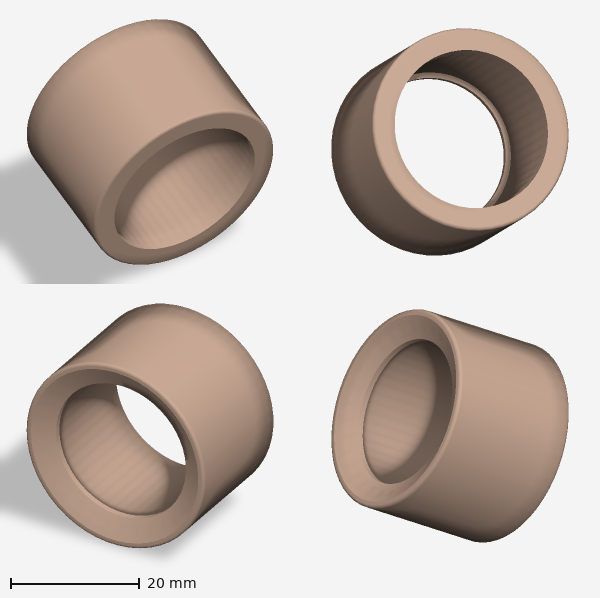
import cadquery as cq

length = 22.0
outer_diameter = 32
mouth_diameter = 30.0
throat_diameter = 23.25
bore_diameter = 25.0
entry_depth = 2.0
throat_length = 1.0
edge_radius = 0.5

left_face = -length / 2
right_face = length / 2
throat_start = left_face + entry_depth
throat_end = throat_start + throat_length


def outer_body():
    """Solid cylinder with both outer rims rounded."""
    body = cq.Workplane("YZ", origin=(left_face, 0, 0)).circle(outer_diameter / 2).extrude(length)
    return body.edges().fillet(edge_radius)


def passage():
    """Conical entry, short throat and wider bore as one revolved cutter."""
    profile = [
        (left_face, 0),
        (left_face, mouth_diameter / 2),
        (throat_start, throat_diameter / 2),
        (throat_end, throat_diameter / 2),
        (throat_end, bore_diameter / 2),
        (right_face, bore_diameter / 2),
        (right_face, 0),
    ]
    return cq.Workplane("XY").polyline(profile).close().revolve(360, (0, 0, 0), (1, 0, 0))


result = outer_body().cut(passage())